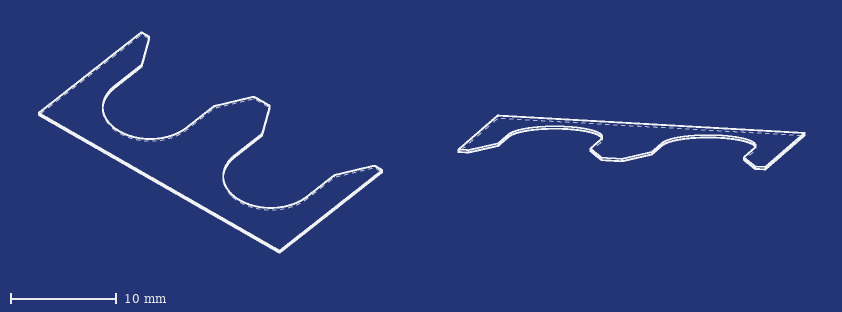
import cadquery as cq
import math

length = 30.0
depth = 15.0
thickness = 0.25

slot_spacing = length / 2
slot_width = 9.0
slot_radius = slot_width / 2
web = 3.0
arc_center_y = web + slot_radius

flare_depth = 3.48
flare_angle = 30.0
mouth_half_width = slot_radius + flare_depth * math.tan(math.radians(flare_angle))
flare_start_y = depth - flare_depth


def make_slot(center_x):
    """Round-bottomed slot with a flared mouth, cutting through the plate."""
    return (
        cq.Workplane("XY")
        .moveTo(center_x - mouth_half_width, depth)
        .lineTo(center_x - slot_radius, flare_start_y)
        .lineTo(center_x - slot_radius, arc_center_y)
        .threePointArc((center_x, web), (center_x + slot_radius, arc_center_y))
        .lineTo(center_x + slot_radius, flare_start_y)
        .lineTo(center_x + mouth_half_width, depth)
        .close()
        .extrude(thickness)
    )


result = cq.Workplane("XY").box(length, depth, thickness, centered=(True, False, False))
for side in (-1, 1):
    result = result.cut(make_slot(side * slot_spacing / 2))